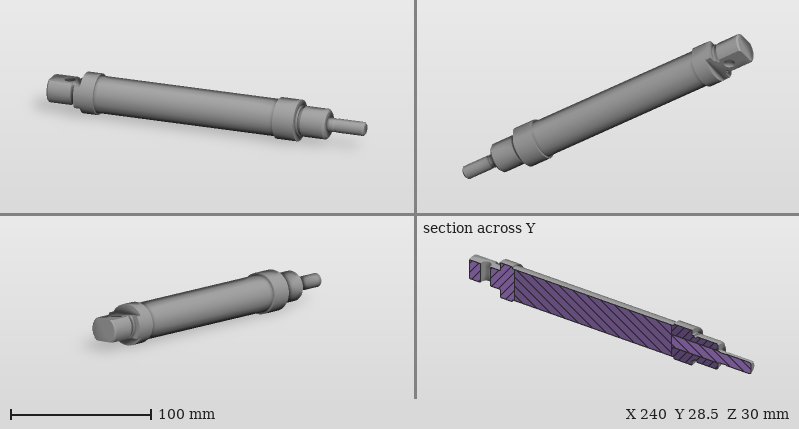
import cadquery as cq

rear_head_start = 22.0
rear_head_end = 37.2
front_head_start = 174.2
front_head_end = 190.0
front_nose_end = 212.2
total_length = 240.0

head_diameter = 30.0
head_depth = 28.5
head_radius = head_diameter / 2
key_flat_offset = head_depth - head_radius

barrel_radius = 13.5
collar_length = 2.0
barrel_start = rear_head_end + collar_length
barrel_end = front_head_start - collar_length

nose_radius = 11.0
rear_nose_chamfer = 1.08
front_nose_chamfer = 1.5

relief_radius = 9.5
relief_land = 1.5
relief_width = 2.0
relief_taper = 0.5

eye_thickness = 16.3
eye_length = 26.5
eye_hole_radius = 4.0
eye_hole_x = 14.2

rod_radius = 5.0
rod_tip_chamfer = 1.2
undercut_radius = 4.5
undercut_start = 218.0
undercut_width = 0.7
undercut_taper = 1.2
wrench_flats_start = 213.0
wrench_flats_width = 9.4


def revolve_profile(points):
    """Revolve an (x, radius) outline about the X axis."""
    return cq.Workplane("XY").polyline(points).close().revolve(360, (0, 0, 0), (1, 0, 0))


def cylinder(start, end, radius):
    """Cylinder on the X axis between two stations."""
    return cq.Workplane("YZ", origin=(start, 0, 0)).circle(radius).extrude(end - start)


def cut_parallel_flats(body, start, end, thickness, radius):
    """Cut flats facing +Z and -Z, leaving the given thickness of a round of the given radius."""
    length = end - start
    blank = cq.Workplane("XY").box(length, 2 * radius, 2 * radius)
    kept = cq.Workplane("XY").box(length, 2 * radius, thickness)
    return body.cut(blank.cut(kept).translate(((start + end) / 2, 0, 0)))


def make_head(nose_length, head_length, nose_chamfer):
    """Head with its nose tip at x = 0, pointing toward -X."""
    head_end = nose_length + head_length
    groove_end = nose_length - relief_land
    groove_start = groove_end - relief_width
    head = revolve_profile([
        (0, 0),
        (0, nose_radius - nose_chamfer),
        (nose_chamfer, nose_radius),
        (groove_start - relief_taper, nose_radius),
        (groove_start, relief_radius),
        (groove_end, relief_radius),
        (groove_end, nose_radius),
        (nose_length, nose_radius),
        (nose_length, head_radius),
        (head_end, head_radius),
        (head_end, barrel_radius),
        (head_end + collar_length, barrel_radius),
        (head_end + collar_length, 0),
    ])
    key_flat_depth = head_radius - key_flat_offset
    key_flat = cq.Workplane("XY").box(head_end, key_flat_depth, head_diameter)
    return head.cut(key_flat.translate((head_end / 2, key_flat_offset + key_flat_depth / 2, 0)))


def make_rear_head():
    """Rear head whose nose is flattened into an eye with a vertical pin hole."""
    head = make_head(rear_head_start, rear_head_end - rear_head_start, rear_nose_chamfer)
    head = cut_parallel_flats(head, 0, eye_length, eye_thickness, head_radius)
    hole = cq.Workplane("XY").center(eye_hole_x, 0).circle(eye_hole_radius).extrude(eye_thickness, both=True)
    return head.cut(hole)


def make_front_head():
    """Front head, facing +X, bored through for the rod."""
    head = make_head(front_nose_end - front_head_end, front_head_end - front_head_start, front_nose_chamfer)
    head = head.mirror("YZ").translate((front_nose_end, 0, 0))
    return head.cut(cylinder(barrel_end, front_nose_end, rod_radius))


def make_barrel():
    """Plain round barrel between the collars of the two heads."""
    return cylinder(barrel_start, barrel_end, barrel_radius)


def make_rod():
    """Rod with two wrench flats and a tapered undercut behind its threaded end."""
    thread_start = undercut_start + undercut_width
    rod = revolve_profile([
        (barrel_end, 0),
        (barrel_end, rod_radius),
        (undercut_start - undercut_taper, rod_radius),
        (undercut_start, undercut_radius),
        (thread_start, undercut_radius),
        (thread_start, rod_radius),
        (total_length - rod_tip_chamfer, rod_radius),
        (total_length, rod_radius - rod_tip_chamfer),
        (total_length, 0),
    ])
    return cut_parallel_flats(rod, wrench_flats_start, undercut_start, wrench_flats_width, rod_radius)


rear_head = make_rear_head()
barrel = make_barrel()
front_head = make_front_head()
rod = make_rod()

result = cq.Compound.makeCompound([
    rear_head.solids().val(),
    barrel.solids().val(),
    front_head.solids().val(),
    rod.solids().val(),
])